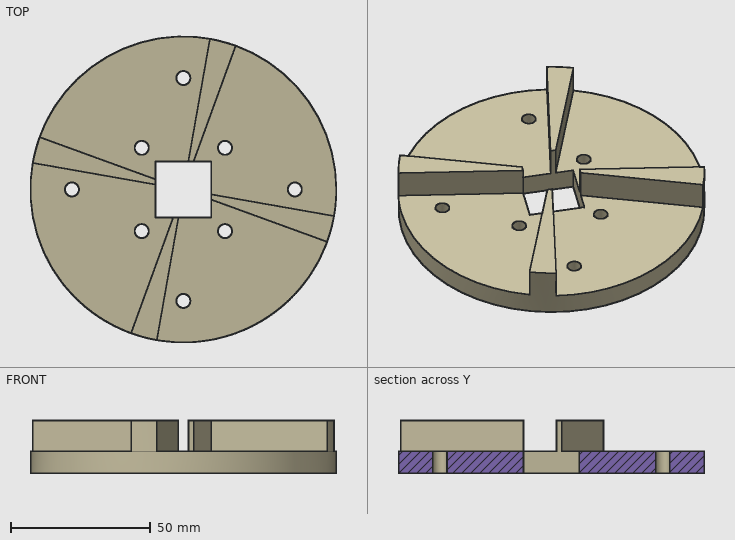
import cadquery as cq
import math

disc_diameter = 110
disc_radius = disc_diameter / 2
disc_thickness = 8.0
bore_side = 20.0

vane_height = 11
vane_count = 4
vane_start_angle = 70
vane_end_angle = 80

hole_diameter = 5.0
outer_hole_radius = 40.0
inner_hole_offset = 15.0
hole_count = 4


def point_on_rim(angle):
    """Point on the disc rim at an angle in degrees from +X."""
    turn = math.radians(angle)
    return disc_radius * math.cos(turn), disc_radius * math.sin(turn)


def make_vane():
    """Radial wedge from the disc centre to the rim, standing on the disc."""
    middle_angle = (vane_start_angle + vane_end_angle) / 2
    return (
        cq.Workplane("XY")
        .lineTo(*point_on_rim(vane_start_angle))
        .threePointArc(point_on_rim(middle_angle), point_on_rim(vane_end_angle))
        .close()
        .extrude(disc_thickness + vane_height)
    )


body = cq.Workplane("XY").circle(disc_radius).extrude(disc_thickness)

vane = make_vane()
for index in range(vane_count):
    body = body.union(vane.rotate((0, 0, 0), (0, 0, 1), index * 360 / vane_count))

total_height = disc_thickness + vane_height
bore = cq.Workplane("XY").rect(bore_side, bore_side).extrude(total_height)

outer_holes = (
    cq.Workplane("XY")
    .polarArray(outer_hole_radius, 0, 360, hole_count)
    .circle(hole_diameter / 2)
    .extrude(disc_thickness)
)
inner_holes = (
    cq.Workplane("XY")
    .rect(2 * inner_hole_offset, 2 * inner_hole_offset, forConstruction=True)
    .vertices()
    .circle(hole_diameter / 2)
    .extrude(disc_thickness)
)

result = body.cut(bore).cut(outer_holes).cut(inner_holes)